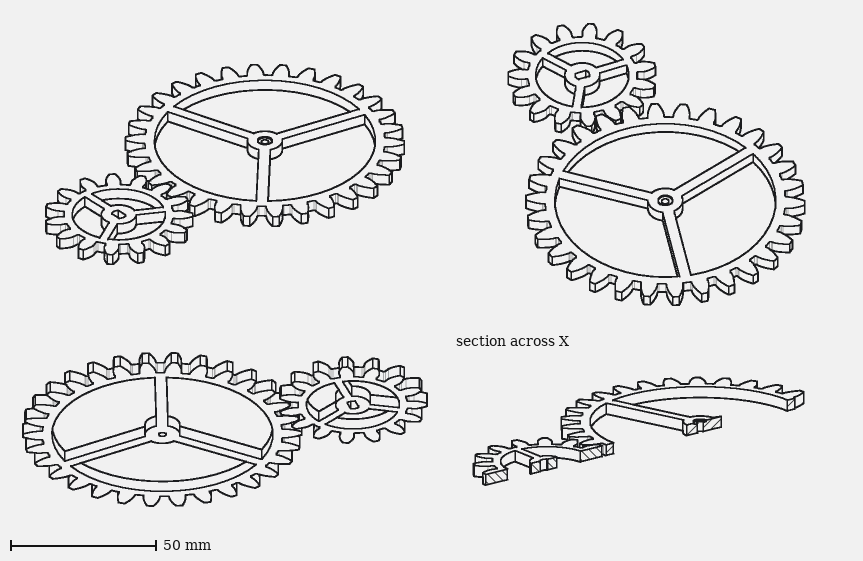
import cadquery as cq
import math

MODULE = 3.0
PRESSURE_ANGLE = math.radians(20)
ADDENDUM = MODULE
DEDENDUM = 1.22 * MODULE
ROOT_FILLET = 0.5
THICKNESS = 4.0
HUB_RADIUS = 6.0
SPOKE_COUNT = 3
FLANK_POINTS = 7
TOLERANCE = 0.001

WHEEL_TEETH = 30
WHEEL_PHASE = -0.72
WHEEL_RIM_RADIUS = 38.0
WHEEL_SPOKE_WIDTH = 4.0
WHEEL_SPOKE_ANGLE = 6.5 * 360 / WHEEL_TEETH + WHEEL_PHASE
BORE_DIAMETER = 2.5
COUNTERBORE_DIAMETER = 5.0
COUNTERBORE_DEPTH = 0.5

PINION_TEETH = 15
PINION_PHASE = 0.0
PINION_RIM_RADIUS = 16.0
PINION_SPOKE_WIDTH = 3.0
PINION_SPOKE_ANGLE = 60.0
PINION_CENTRE = (1.83, -68.42)
SHAFT_DIAMETER = 5.0
SHAFT_FLATS = 3.0


def polar(radius, angle):
    return (radius * math.cos(angle), radius * math.sin(angle))


def involute(angle):
    return math.tan(angle) - angle


def toothed_disc(teeth):
    """Involute spur gear blank with rounded tooth roots and its first tooth along +X."""
    pitch_radius = MODULE * teeth / 2
    base_radius = pitch_radius * math.cos(PRESSURE_ANGLE)
    tip_radius = pitch_radius + ADDENDUM
    root_radius = pitch_radius - DEDENDUM
    tooth_angle = 2 * math.pi / teeth
    base_half_angle = tooth_angle / 4 + involute(PRESSURE_ANGLE)

    flank = []
    for i in range(FLANK_POINTS):
        radius = base_radius + (tip_radius - base_radius) * i / (FLANK_POINTS - 1)
        half_angle = base_half_angle - involute(math.acos(base_radius / radius))
        flank.append((radius, half_angle))

    outline = cq.Workplane("XY").moveTo(*polar(root_radius, -base_half_angle))
    for tooth in range(teeth):
        middle = tooth * tooth_angle
        rising = [polar(radius, middle - half) for radius, half in flank]
        falling = [polar(radius, middle + half) for radius, half in reversed(flank)]
        next_root = middle + tooth_angle - base_half_angle
        outline = (
            outline.lineTo(*rising[0])
            .spline(rising[1:], includeCurrent=True)
            .threePointArc(polar(tip_radius, middle), falling[0])
            .spline(falling[1:], includeCurrent=True)
            .lineTo(*polar(root_radius, middle + base_half_angle))
            .threePointArc(
                polar(root_radius, middle + tooth_angle / 2),
                polar(root_radius, next_root),
            )
        )
    disc = outline.close().extrude(THICKNESS)

    def is_root_corner(edge):
        position = edge.Center()
        return abs(math.hypot(position.x, position.y) - root_radius) < TOLERANCE

    return disc.edges("|Z").filter(is_root_corner).fillet(ROOT_FILLET)


def spoked_gear(teeth, phase, rim_radius, spoke_width, spoke_angle):
    """Gear opened up to a rim, a round hub and evenly spaced spokes."""
    windows = cq.Workplane("XY").circle(rim_radius).circle(HUB_RADIUS).extrude(THICKNESS)
    spoke_reach = rim_radius + MODULE
    for i in range(SPOKE_COUNT):
        spoke = (
            cq.Workplane("XY")
            .box(spoke_reach, spoke_width, THICKNESS, centered=(False, True, False))
            .rotate((0, 0, 0), (0, 0, 1), spoke_angle + i * 360 / SPOKE_COUNT)
        )
        windows = windows.cut(spoke)
    blank = toothed_disc(teeth).rotate((0, 0, 0), (0, 0, 1), phase)
    return blank.cut(windows)


def make_wheel():
    """Large gear with a counterbored round hole in its hub."""
    gear = spoked_gear(
        WHEEL_TEETH, WHEEL_PHASE, WHEEL_RIM_RADIUS, WHEEL_SPOKE_WIDTH, WHEEL_SPOKE_ANGLE
    )
    return gear.faces(">Z").workplane(origin=(0, 0, THICKNESS)).cboreHole(
        BORE_DIAMETER, COUNTERBORE_DIAMETER, COUNTERBORE_DEPTH
    )


def make_pinion():
    """Small gear with a double-flat shaft hole in its hub."""
    gear = spoked_gear(
        PINION_TEETH, PINION_PHASE, PINION_RIM_RADIUS, PINION_SPOKE_WIDTH, PINION_SPOKE_ANGLE
    )
    shaft = cq.Workplane("XY").circle(SHAFT_DIAMETER / 2).extrude(THICKNESS)
    flats = cq.Workplane("XY").rect(SHAFT_DIAMETER, SHAFT_FLATS).extrude(THICKNESS)
    return gear.cut(shaft.intersect(flats)).translate((*PINION_CENTRE, 0))


wheel = make_wheel()
pinion = make_pinion()

result = cq.Compound.makeCompound([wheel.solids().val(), pinion.solids().val()])